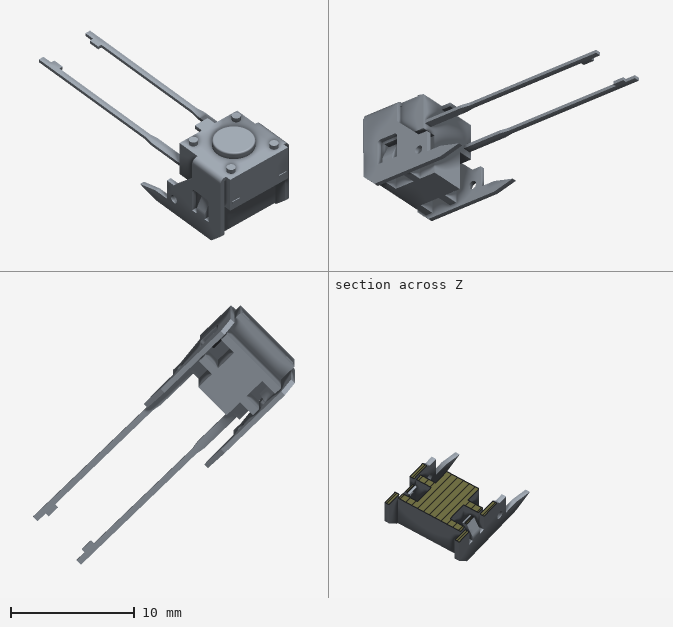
import cadquery as cq
import math


housing_side = 6.2
housing_half = housing_side / 2
housing_top = 7.06
step_z = 3.82
housing_bottom = 0.3
core_width = 3.25
rib_setback = 1.53
rib_gap = 1.84
rib_length = housing_half - rib_setback - rib_gap / 2
core_length = housing_side - rib_setback

peg_diameter = 0.75
peg_height = 0.4
peg_pitch = 4.6
button_diameter = 3.5
button_height = 0.6
button_rounding = 0.15

tab_length = 0.85
tab_width = 1.38
sheet_thickness = 0.35

overall_length = 23.85
lead_stub = 0.07
lead_end_x = housing_side + lead_stub - overall_length
lead_y = 2.5
lead_bottom = 4.4
lead_thickness = 0.29
lead_wide = 0.76
lead_narrow = 0.5
taper_start_x = -4.53
taper_end_x = -3.75
foot_start = 0.93
foot_length = 1.03
foot_inner_y = 1.9

wing_outer_y = 3.7
wing_thickness = 0.43
wing_front_x = 2.22
wing_back_x = 5.68
wing_bend_radius = 0.52
wing_foot_x = -0.85
wing_slope_top = 5.03
wing_shoulder_z = 2.93
wing_chamfer_x = 1.12
wing_chamfer_z = 1.07
prong_height = 1.0
prong_taper_x = -2.25
prong_tip_x = -4.15
hole_diameter = 0.75
hole_z = 1.48

window_length = 2.03
window_bottom = 1.72
window_top = 3.95
window_rounding = 0.3
tongue_length = 1.0
tongue_bend_z = 1.93
tongue_bend_radius = 0.76
tongue_angle = math.radians(28)
tongue_reach = 1.3
window_center_x = wing_front_x + window_length / 2


def box(x_min, x_max, y_min, y_max, z_min, z_max):
    """Axis-aligned block between the given limits."""
    size = (x_max - x_min, y_max - y_min, z_max - z_min)
    return cq.Workplane("XY").box(*size, centered=False).translate((x_min, y_min, z_min))


def make_block():
    """Square upper block over a narrower core that carries two ribs across its full width."""
    half_core = core_width / 2
    block = box(0, housing_side, -housing_half, housing_half, step_z, housing_top)
    block = block.union(box(0, core_length, -half_core, half_core, housing_bottom, step_z))
    for rib_x in (rib_setback, core_length - rib_length):
        rib = box(rib_x, rib_x + rib_length, -housing_half, housing_half, housing_bottom, step_z)
        block = block.union(rib)
    tab = box(-tab_length, 0, -tab_width / 2, tab_width / 2, housing_top - sheet_thickness, housing_top)
    return block.union(tab)


def make_pegs():
    """Four short pegs at the corners of the top face."""
    return (
        cq.Workplane("XY", origin=(housing_half, 0, housing_top))
        .rect(peg_pitch, peg_pitch, forConstruction=True)
        .vertices()
        .circle(peg_diameter / 2)
        .extrude(peg_height)
    )


def make_lead():
    """Flat lead on the +Y side: wide through the housing, tapering to a thin wire with a foot."""
    foot_x = lead_end_x + foot_start
    narrow_inner = lead_y - lead_narrow / 2
    narrow_outer = lead_y + lead_narrow / 2
    wide_inner = lead_y - lead_wide / 2
    wide_outer = lead_y + lead_wide / 2
    outline = [
        (lead_end_x, narrow_inner),
        (foot_x, narrow_inner),
        (foot_x, foot_inner_y),
        (foot_x + foot_length, foot_inner_y),
        (foot_x + foot_length, narrow_inner),
        (taper_start_x, narrow_inner),
        (taper_end_x, wide_inner),
        (housing_side + lead_stub, wide_inner),
        (housing_side + lead_stub, wide_outer),
        (taper_end_x, wide_outer),
        (taper_start_x, narrow_outer),
        (lead_end_x, narrow_outer),
    ]
    return cq.Workplane("XY", origin=(0, 0, lead_bottom)).polyline(outline).close().extrude(lead_thickness)


def make_tongue():
    """Tongue that rises from the window's lower edge and leans inward past the housing side."""
    center_y = wing_outer_y - tongue_bend_radius
    inner_radius = tongue_bend_radius - wing_thickness

    def bend_point(radius, angle):
        return (center_y + radius * math.cos(angle), tongue_bend_z + radius * math.sin(angle))

    outer_end = bend_point(tongue_bend_radius, tongue_angle)
    inner_end = bend_point(inner_radius, tongue_angle)
    lean = (-tongue_reach * math.sin(tongue_angle), tongue_reach * math.cos(tongue_angle))
    return (
        cq.Workplane("YZ", origin=(window_center_x - tongue_length / 2, 0, 0))
        .moveTo(wing_outer_y, window_bottom)
        .lineTo(wing_outer_y, tongue_bend_z)
        .threePointArc(bend_point(tongue_bend_radius, tongue_angle / 2), outer_end)
        .line(*lean)
        .lineTo(inner_end[0] + lean[0], inner_end[1] + lean[1])
        .lineTo(*inner_end)
        .threePointArc(
            bend_point(inner_radius, tongue_angle / 2),
            (wing_outer_y - wing_thickness, tongue_bend_z),
        )
        .lineTo(wing_outer_y - wing_thickness, window_bottom)
        .close()
        .extrude(tongue_length)
    )


def make_wing():
    """Mounting wing on the +Y side, bent down from the top of the housing."""
    outline = [
        (wing_front_x, housing_top),
        (wing_back_x, housing_top),
        (wing_back_x, wing_chamfer_z),
        (wing_back_x - wing_chamfer_x, 0),
        (prong_taper_x, 0),
        (prong_tip_x, prong_height / 2),
        (prong_taper_x, prong_height),
        (wing_foot_x, prong_height),
        (wing_foot_x, wing_shoulder_z),
        (0, wing_shoulder_z),
        (wing_front_x, wing_slope_top),
    ]
    outer_face = cq.Workplane("XZ", origin=(0, wing_outer_y, 0))
    wing = outer_face.polyline(outline).close().extrude(wing_thickness)

    flange_bottom = housing_top - sheet_thickness
    flange = box(wing_front_x, wing_back_x, housing_half, wing_outer_y, flange_bottom, housing_top)
    wing = wing.union(flange).edges("|X and >Y and >Z").fillet(wing_bend_radius)

    hole = outer_face.center(0, hole_z).circle(hole_diameter / 2).extrude(wing_thickness)
    window = (
        outer_face.center(window_center_x, (window_bottom + window_top) / 2)
        .rect(window_length, window_top - window_bottom)
        .extrude(wing_thickness)
        .edges("|Y and >Z")
        .fillet(window_rounding)
    )
    return wing.cut(hole).cut(window).union(make_tongue())


def make_housing():
    """Housing block with its pegs, leads and wings as one solid."""
    housing = make_block().union(make_pegs())
    for side_part in (make_lead(), make_wing()):
        housing = housing.union(side_part).union(side_part.mirror("XZ"))
    return housing


def make_button():
    """Round push button standing on the top face, with a rounded rim."""
    return (
        cq.Workplane("XY", origin=(housing_half, 0, housing_top))
        .circle(button_diameter / 2)
        .extrude(button_height)
        .faces(">Z")
        .edges()
        .fillet(button_rounding)
    )


housing = make_housing()
button = make_button()

result = cq.Compound.makeCompound([housing.val(), button.val()])